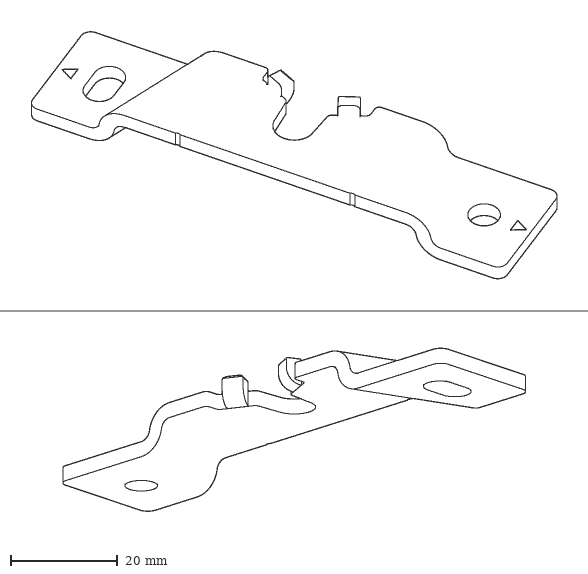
import cadquery as cq
import math

length = 100.0
depth = 24.0
thickness = 3.0
rise = 6.0
plate_top = rise + thickness
corner_radius = 2.0

fold_angle = 20.0
fold_x = 29.0
inner_bend = 2.0
outer_bend = inner_bend + thickness

hole_x = 40.0
hole_diameter = 6.1
slot_length = 10.2
arrow_tip_x = 48.9
arrow_length = 2.6
arrow_width = 3.0
arrow_depth = 0.1

notch_half_width = 11.3
throat_half_width = 4.4
throat_radius = 4.0
notch_fillet = 1.0

tab_angle = 25.0
tab_x = 7.8
tab_y = 7.2
tab_width = 4.2
tab_top = 11.5
tab_corner = 1.0
tab_chamfer = 0.5
tab_inner_bend = 0.3

groove_x = 18.4
groove_radius = 0.75
groove_depth = 0.2


def mirrored_pair(half):
    """The given right-hand body together with its mirror image across the YZ plane."""
    return half.union(half.mirror("YZ"))


def bent_half():
    """Right half of the strip: raised middle, S-bend along the skewed fold, and foot."""
    upper_z = plate_top - outer_bend
    lower_z = thickness + inner_bend
    center_gap = inner_bend + outer_bend
    sweep = math.acos((lower_z - upper_z) / center_gap)
    half_run = center_gap * math.sin(sweep) / 2

    def bend_point(x, z, radius, angle):
        return (x + radius * math.sin(angle), z + radius * math.cos(angle))

    def upper(radius, angle):
        return bend_point(-half_run, upper_z, radius, angle)

    def lower(radius, angle):
        return bend_point(half_run, lower_z, -radius, angle)

    profile = (
        cq.Workplane("XZ")
        .moveTo(-length, plate_top)
        .lineTo(*upper(outer_bend, 0))
        .threePointArc(upper(outer_bend, sweep / 2), upper(outer_bend, sweep))
        .threePointArc(lower(inner_bend, sweep / 2), lower(inner_bend, 0))
        .lineTo(length, thickness)
        .lineTo(length, 0)
        .lineTo(*lower(outer_bend, 0))
        .threePointArc(lower(outer_bend, sweep / 2), lower(outer_bend, sweep))
        .threePointArc(upper(inner_bend, sweep / 2), upper(inner_bend, 0))
        .lineTo(-length, rise)
        .close()
    )
    folded = (
        profile.extrude(length, both=True)
        .rotate((0, 0, 0), (0, 0, 1), fold_angle)
        .translate((fold_x, 0, 0))
    )
    blank = cq.Workplane("XY").box(length / 2, depth, plate_top, centered=(False, True, False))
    return folded.intersect(blank)


def notch_cutter():
    """Wide opening with sloping sides that narrows to a round-ended throat."""
    slope = math.tan(math.radians(tab_angle))

    def slope_y(x):
        return tab_y + (x - tab_x) * slope

    wall_y = slope_y(notch_half_width)
    throat_y = slope_y(throat_half_width)
    return (
        cq.Workplane("XY")
        .moveTo(-notch_half_width, depth / 2)
        .lineTo(-notch_half_width, wall_y)
        .lineTo(-throat_half_width, throat_y)
        .lineTo(-throat_radius, 0)
        .threePointArc((0, -throat_radius), (throat_radius, 0))
        .lineTo(throat_half_width, throat_y)
        .lineTo(notch_half_width, wall_y)
        .lineTo(notch_half_width, depth / 2)
        .close()
        .extrude(plate_top)
    )


def tab():
    """Right-hand tab, bent up from the sloping side of the notch."""
    bend_z = plate_top + tab_inner_bend
    bend_outer = tab_inner_bend + thickness
    diagonal = math.sqrt(0.5)
    root = -2 * tab_inner_bend
    profile = (
        cq.Workplane("YZ")
        .moveTo(root, rise)
        .lineTo(-tab_inner_bend, rise)
        .threePointArc(
            (-tab_inner_bend + bend_outer * diagonal, bend_z - bend_outer * diagonal),
            (thickness, bend_z),
        )
        .lineTo(thickness, tab_top - tab_chamfer)
        .lineTo(thickness - tab_chamfer, tab_top)
        .lineTo(0, tab_top)
        .lineTo(0, bend_z)
        .threePointArc(
            (-tab_inner_bend * (1 - diagonal), bend_z - tab_inner_bend * diagonal),
            (-tab_inner_bend, plate_top),
        )
        .lineTo(root, plate_top)
        .close()
    )
    rounding = (
        cq.Workplane("XY")
        .box(tab_width, 4 * thickness, tab_top, centered=(True, True, False))
        .edges("|Y and >Z")
        .fillet(tab_corner)
    )
    return (
        profile.extrude(tab_width / 2, both=True)
        .intersect(rounding)
        .rotate((0, 0, 0), (0, 0, 1), tab_angle)
        .translate((tab_x, tab_y, 0))
    )


def arrow_mark():
    """Shallow triangle on the right foot, pointing outwards."""
    base_x = arrow_tip_x - arrow_length
    return (
        cq.Workplane("XY", origin=(0, 0, thickness))
        .polyline([(base_x, -arrow_width / 2), (arrow_tip_x, 0), (base_x, arrow_width / 2)])
        .close()
        .extrude(-arrow_depth)
    )


def edge_groove():
    """Round groove across the right part of the front edge."""
    center_y = -depth / 2 - groove_radius + groove_depth
    return cq.Workplane("XY").center(groove_x, center_y).circle(groove_radius).extrude(plate_top)


strip = mirrored_pair(bent_half())
strip = strip.edges("|Z and (<X or >X)").fillet(corner_radius)

strip = strip.cut(notch_cutter())
notch_corners = cq.selectors.BoxSelector(
    (-notch_half_width - notch_fillet, throat_radius / 2, 0),
    (notch_half_width + notch_fillet, depth / 2 + notch_fillet, plate_top),
)
strip = strip.edges("|Z").edges(notch_corners).fillet(notch_fillet)

slot = cq.Workplane("XY").center(-hole_x, 0).slot2D(slot_length, hole_diameter, 90).extrude(thickness)
hole = cq.Workplane("XY").center(hole_x, 0).circle(hole_diameter / 2).extrude(thickness)
strip = strip.cut(slot).cut(hole)

strip = strip.cut(mirrored_pair(arrow_mark()))
strip = strip.cut(mirrored_pair(edge_groove()))

result = strip.union(mirrored_pair(tab()))